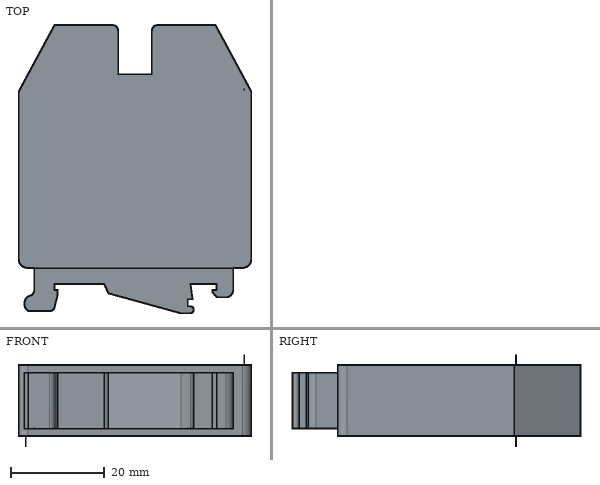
import cadquery as cq
import math

body_width = 50.0
body_height = 52.25
body_thickness = 15.3
shoulder_height = 37.95
crown_width = 34.6
lower_corner_radius = 1.9

slot_width = 7.2
slot_depth = 10.6
slot_lip_radius = 1.3

foot_thickness = 12.0
foot_left = -21.7
foot_right = 21.15
rail_seat = -3.5
rail_catch = -4.7
foot_bottom = body_height - 62
left_claw_bottom = -9.25
right_claw_bottom = -6.3
right_claw_radius = foot_right - 19.45

overall_thickness = 19.5
point_radius = 0.03
point_x = 23.5
point_y = 38.35


def prism(outline, thickness):
    """Extrude a closed outline symmetrically about Z = 0."""
    return outline.close().extrude(thickness / 2, both=True)


def make_body():
    half_width = body_width / 2
    half_crown = crown_width / 2
    outline = (
        cq.Workplane("XY")
        .moveTo(-half_width, 0)
        .lineTo(half_width, 0)
        .lineTo(half_width, shoulder_height)
        .lineTo(half_crown, body_height)
        .lineTo(-half_crown, body_height)
        .lineTo(-half_width, shoulder_height)
    )
    block = prism(outline, body_thickness).edges("|Z and <Y").fillet(lower_corner_radius)
    slot = (
        cq.Workplane("XY")
        .center(0, body_height - slot_depth / 2)
        .rect(slot_width, slot_depth)
        .extrude(body_thickness / 2, both=True)
    )
    lip_size = slot_width + slot_lip_radius
    lips = cq.selectors.BoxSelector(
        (-lip_size / 2, body_height - slot_lip_radius, -body_thickness),
        (lip_size / 2, body_height + slot_lip_radius, body_thickness),
    )
    return block.cut(slot).edges("|Z").edges(lips).fillet(slot_lip_radius)


def make_foot():
    arc_offset = right_claw_radius * math.sqrt(0.5)
    claw_center_x = foot_right - right_claw_radius
    claw_center_y = right_claw_bottom + right_claw_radius
    outline = (
        cq.Workplane("XY")
        .moveTo(foot_left, 0)
        .lineTo(foot_left, -4.9)
        .threePointArc((-22.0, -5.6), (-22.7, -5.95))
        .threePointArc((-23.8, -7.55), (-22.95, left_claw_bottom))
        .lineTo(-18.4, left_claw_bottom)
        .threePointArc((-17.6, -9.0), (-17.2, -8.25))
        .lineTo(-16.6, -5.8)
        .lineTo(-16.6, rail_catch)
        .lineTo(-17.3, rail_catch)
        .lineTo(-17.3, rail_seat)
        .lineTo(-6.65, rail_seat)
        .lineTo(-5.7, -5.45)
        .lineTo(9.8, foot_bottom)
        .lineTo(11.9, foot_bottom)
        .threePointArc((12.65, -8.9), (11.9, -8.2))
        .lineTo(11.35, -8.2)
        .lineTo(11.35, -6.75)
        .lineTo(12.4, -6.75)
        .lineTo(11.95, rail_seat)
        .lineTo(17.5, rail_seat)
        .lineTo(17.5, rail_catch)
        .lineTo(16.6, rail_catch)
        .lineTo(16.6, -5.2)
        .lineTo(17.6, right_claw_bottom)
        .lineTo(claw_center_x, right_claw_bottom)
        .threePointArc(
            (claw_center_x + arc_offset, claw_center_y - arc_offset),
            (foot_right, claw_center_y),
        )
        .lineTo(foot_right, 0)
    )
    return prism(outline, foot_thickness)


def make_point(side):
    """Thin pin from the mid-plane out through one face; side is +1 or -1."""
    return (
        cq.Workplane("XY")
        .center(side * point_x, point_y)
        .circle(point_radius)
        .extrude(side * overall_thickness / 2)
    )


result = make_body().union(make_foot())
for side in (1, -1):
    result = result.union(make_point(side))